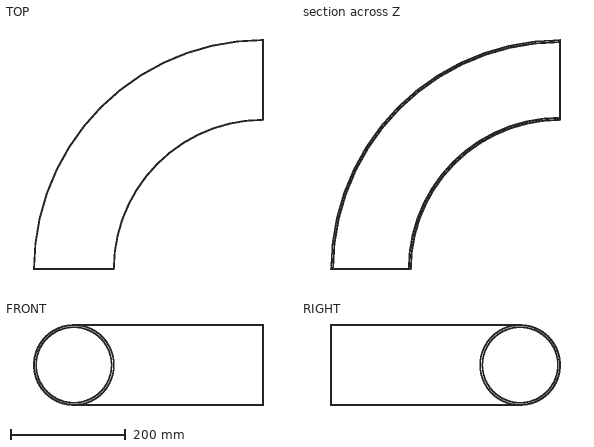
import cadquery as cq

outer_diameter = 139.7
wall_thickness = 4.0
bend_radius = 330.0
bend_angle = 90.0

inner_diameter = outer_diameter - 2 * wall_thickness


def make_elbow():
    """Revolve the pipe ring from its -Y facing end to its +X facing end."""
    ring = (
        cq.Workplane("XZ")
        .center(-bend_radius, 0)
        .circle(outer_diameter / 2)
        .circle(inner_diameter / 2)
    )
    axis_start = (bend_radius, 0)
    axis_end = (bend_radius, -1)
    return ring.revolve(bend_angle, axis_start, axis_end)


result = make_elbow()